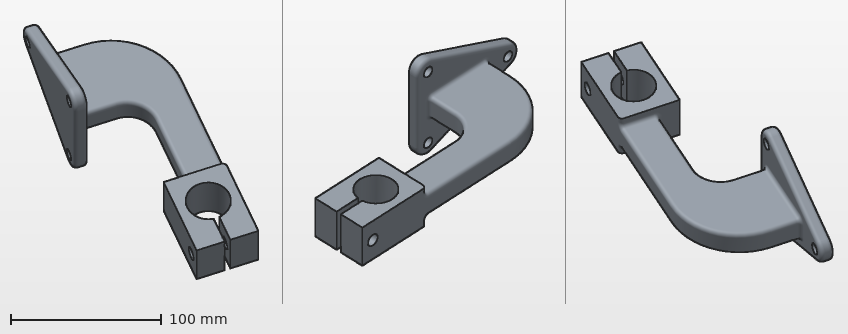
import cadquery as cq
import math

length = 220.0
depth = 82.0
edge_radius = 3.0

plate_width = 95.0
plate_height = 80.0
plate_thickness = 10.0
corner_radius = 10.0
plate_hole_diameter = 8.0

arm_start = 30.0
leg_width = 55.0
arm_depth = 28.0
arm_height = 18.0
outer_bend_radius = 50.0
inner_bend_radius = 20.0

block_length = 60.0
block_depth = 44.0
block_height = 32.5
bore_diameter = 30.0
bore_setback = 35.0
slot_width = 4.0
bolt_hole_diameter = 9.0
bolt_setback = 10.0

arm_end = arm_start + leg_width
arm_front = depth - arm_depth
block_start = length - block_length
block_front = depth - block_depth
block_mid = depth - block_depth / 2

corner_x = plate_width - corner_radius
corner_z = plate_height / 2 - corner_radius
corners = [(corner_radius, 0), (corner_x, corner_z), (corner_x, -corner_z)]


def box_select(low, high):
    """Selector for edges whose centres lie within a box between two corners."""
    return cq.selectors.BoxSelector(low, high)


def make_plate():
    """Rounded triangle spanning the three corner circles, with both rims rounded."""
    side_angle = math.atan2(corner_z, corner_x - corner_radius)
    tangent_x = -corner_radius * math.sin(side_angle)
    tangent_z = corner_radius * math.cos(side_angle)
    bisector = (side_angle + math.pi / 2) / 2
    mid_x = corner_x + corner_radius * math.cos(bisector)
    mid_z = corner_z + corner_radius * math.sin(bisector)
    profile = (
        cq.Workplane("XZ")
        .moveTo(corner_radius + tangent_x, tangent_z)
        .lineTo(corner_x + tangent_x, corner_z + tangent_z)
        .threePointArc((mid_x, mid_z), (plate_width, corner_z))
        .lineTo(plate_width, -corner_z)
        .threePointArc((mid_x, -mid_z), (corner_x + tangent_x, -corner_z - tangent_z))
        .lineTo(corner_radius + tangent_x, -tangent_z)
        .threePointArc((0, 0), (corner_radius + tangent_x, tangent_z))
        .close()
    )
    return profile.extrude(-plate_thickness).faces("<Y or >Y").edges().fillet(edge_radius)


def make_arm():
    """Square-edged arm rising from the plate and bending toward the block."""
    return (
        cq.Workplane("XY")
        .moveTo(arm_start, plate_thickness)
        .lineTo(arm_start, depth - outer_bend_radius)
        .radiusArc((arm_start + outer_bend_radius, depth), outer_bend_radius)
        .lineTo(block_start, depth)
        .lineTo(block_start, arm_front)
        .lineTo(arm_end + inner_bend_radius, arm_front)
        .radiusArc((arm_end, arm_front - inner_bend_radius), -inner_bend_radius)
        .lineTo(arm_end, plate_thickness)
        .close()
        .extrude(arm_height / 2, both=True)
    )


def make_block():
    """Plain clamp block, flush with the back of the arm."""
    return cq.Workplane("XY").box(block_length, block_depth, block_height).translate(
        (length - block_length / 2, block_mid, 0)
    )


def round_arm(body):
    """Round the arm's long edges, its two roots and the block's flush back corner."""
    gap = 0.2
    reach = block_height / 2 - gap
    arm_edges = box_select(
        (arm_start - gap, plate_thickness - gap, -reach),
        (block_start + gap, depth + gap, reach),
    )
    free_corner = box_select(
        (block_start - gap, block_front - gap, -gap),
        (block_start + gap, block_front + gap, gap),
    )
    return body.edges(arm_edges - free_corner).fillet(edge_radius)


def cut_clamp(body):
    """Bore, clamping slot and the bolt hole crossing the slot."""
    bore_x = length - bore_setback
    bore = cq.Workplane("XY").center(bore_x, block_mid).circle(bore_diameter / 2)
    slot = cq.Workplane("XY").box(bore_setback, slot_width, block_height)
    slot = slot.translate((length - bore_setback / 2, block_mid, 0))
    bolt = cq.Workplane("XZ").center(length - bolt_setback, 0).circle(bolt_hole_diameter / 2)
    body = body.cut(bore.extrude(block_height, both=True)).cut(slot)
    return body.cut(bolt.extrude(-depth))


def cut_plate_holes(body):
    """Mounting holes concentric with the plate corners."""
    holes = cq.Workplane("XZ").pushPoints(corners).circle(plate_hole_diameter / 2)
    return body.cut(holes.extrude(-plate_thickness))


body = make_plate().union(make_arm()).union(make_block())
body = round_arm(body)
body = cut_clamp(body)
result = cut_plate_holes(body)